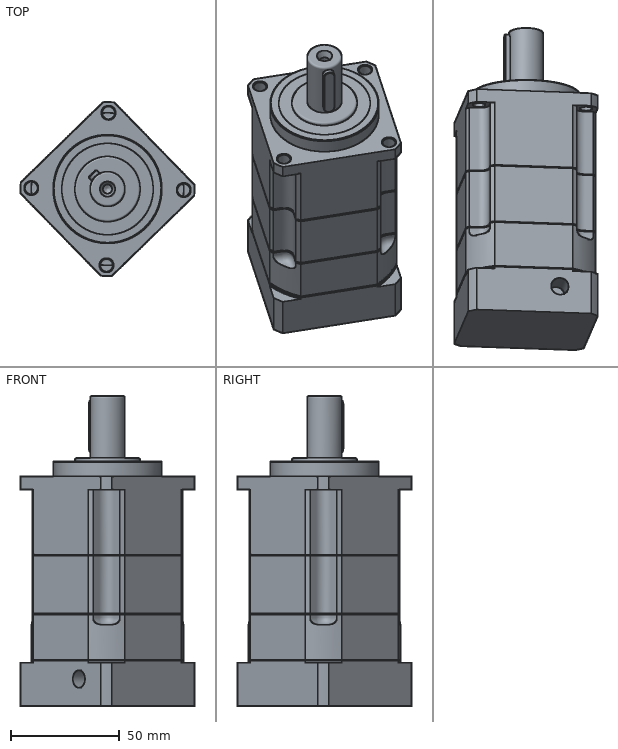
import cadquery as cq
import math

turn_angle = 44.25

square_side = 60.0
corner_count = 4
flange_corner_diameter = 80.0
body_corner_diameter = 70.0

adapter_top = 20.0
joint_heights = [21.3, 42.6, 69.6]
flange_bottom = 99.5
flange_top = flange_bottom + 6.0
pilot_top = flange_top + 7.0
shoulder_top = pilot_top + 1.5
shaft_top = shoulder_top + 28.5
joint_chamfer = 0.5

notch_wall_offset = 20.0
notch_corner_radius = 4.5
notch_floor = 37.5
notch_floor_radius = 3.0

bolt_circle_diameter = 70.0
bolt_start_angle = 45.0
bolt_hole_diameter = 5.8
bolt_hole_chamfer = 0.4
bolt_hole_chamfer_angle = 45.0

access_hole_diameter = 8.0
access_hole_offset = -12.0
access_hole_height = 12.5
access_hole_depth = 15.0

pilot_diameter = 50.0
pilot_chamfer = 0.4
seal_diameter = 42.0
seal_depth = 7.0
seal_seat = pilot_top - seal_depth
shoulder_diameter = 30.0
shaft_diameter = 16.0
shaft_fillet = 1.0

centre_hole_diameter = 4.2
countersink_diameter = 7.0
countersink_angle = 50.0
centre_hole_depth = 12.5
drill_tip_angle = 118.0

key_width = 5.0
key_length = 25.0
key_height = 5.0
key_outer_distance = 10.0
key_chamfer = 0.25
key_end_gap = 1.5


def rounded_square(corner_diameter, bottom, top):
    """Square block whose corners are cut by a cylinder about the axis."""
    height = top - bottom
    block = cq.Workplane("XY").workplane(offset=bottom).rect(square_side, square_side).extrude(height)
    cylinder = cq.Workplane("XY").workplane(offset=bottom).circle(corner_diameter / 2).extrude(height)
    return block.intersect(cylinder)


def corner_notches():
    """Four square corner pockets with a rounded inner edge and a rounded floor."""
    size = flange_corner_diameter / 2
    block = (
        cq.Workplane("XY")
        .box(size, size, flange_bottom - notch_floor, centered=False)
        .translate((notch_wall_offset, notch_wall_offset, notch_floor))
    )
    inner_edge = cq.selectors.NearestToPointSelector(
        (notch_wall_offset, notch_wall_offset, (notch_floor + flange_bottom) / 2)
    )
    notch = block.edges(inner_edge).fillet(notch_corner_radius)
    notch = notch.faces("<Z").edges("<X or <Y").fillet(notch_floor_radius)
    notches = notch
    for quarter in range(1, corner_count):
        notches = notches.union(notch.rotate((0, 0, 0), (0, 0, 1), quarter * 360 / corner_count))
    return notches


def make_housing():
    """Adapter, stacked body sections, flange and pilot as one solid."""
    housing = rounded_square(flange_corner_diameter, 0, adapter_top)
    notches = corner_notches()
    section_bottom = adapter_top
    for joint_height in joint_heights:
        section = rounded_square(body_corner_diameter, section_bottom, joint_height).cut(notches)
        housing = housing.union(section.faces(">Z").chamfer(joint_chamfer))
        section_bottom = joint_height
    output_section = rounded_square(body_corner_diameter, section_bottom, flange_bottom).cut(notches)
    flange = rounded_square(flange_corner_diameter, flange_bottom, flange_top)
    pilot = (
        cq.Workplane("XY")
        .workplane(offset=flange_top)
        .circle(pilot_diameter / 2)
        .extrude(pilot_top - flange_top)
        .faces(">Z")
        .chamfer(pilot_chamfer)
    )
    housing = housing.union(output_section).union(flange).union(pilot)

    bolt_hole_mouths = (
        cq.Workplane("XY")
        .workplane(offset=flange_top - bolt_hole_chamfer)
        .polarArray(bolt_circle_diameter / 2, bolt_start_angle, 360, corner_count)
        .circle(bolt_hole_diameter / 2)
        .extrude(bolt_hole_chamfer, taper=-bolt_hole_chamfer_angle)
    )
    bolt_holes = (
        cq.Workplane("XY")
        .workplane(offset=flange_bottom)
        .polarArray(bolt_circle_diameter / 2, bolt_start_angle, 360, corner_count)
        .circle(bolt_hole_diameter / 2)
        .extrude(flange_top - flange_bottom)
        .union(bolt_hole_mouths)
    )
    access_hole = (
        cq.Workplane("YZ")
        .workplane(offset=-square_side / 2)
        .center(access_hole_offset, access_hole_height)
        .circle(access_hole_diameter / 2)
        .extrude(access_hole_depth)
    )
    seal_pocket = (
        cq.Workplane("XY").workplane(offset=seal_seat).circle(seal_diameter / 2).extrude(seal_depth)
    )
    return housing.cut(bolt_holes).cut(access_hole).cut(seal_pocket)


def make_seal():
    """Flat shaft seal ring, flush with the pilot."""
    return (
        cq.Workplane("XY")
        .workplane(offset=seal_seat)
        .circle(seal_diameter / 2)
        .circle(shoulder_diameter / 2)
        .extrude(seal_depth)
    )


def make_key():
    """Parallel key with round ends, lying along the +Y side of the shaft."""
    key_middle = shaft_top - key_end_gap - key_length / 2
    return (
        cq.Workplane("XZ")
        .workplane(offset=-key_outer_distance)
        .center(0, key_middle)
        .slot2D(key_length, key_width, 90)
        .extrude(key_height)
        .faces(">Y")
        .chamfer(key_chamfer)
    )


def centre_hole():
    """Countersunk blind hole with a conical drill tip, revolved about the axis."""
    hole_radius = centre_hole_diameter / 2
    sink_radius = countersink_diameter / 2
    sink_depth = (sink_radius - hole_radius) / math.tan(math.radians(countersink_angle / 2))
    tip_depth = hole_radius / math.tan(math.radians(drill_tip_angle / 2))
    hole_bottom = shaft_top - centre_hole_depth
    return (
        cq.Workplane("XZ")
        .moveTo(0, shaft_top)
        .lineTo(sink_radius, shaft_top)
        .lineTo(hole_radius, shaft_top - sink_depth)
        .lineTo(hole_radius, hole_bottom)
        .lineTo(0, hole_bottom - tip_depth)
        .close()
        .revolve(360, (0, 0, 0), (0, 1, 0))
    )


def make_shaft(key):
    """Shaft with its shoulder, centre hole and a keyway cut to the shape of the key."""
    shoulder = (
        cq.Workplane("XY")
        .workplane(offset=seal_seat)
        .circle(shoulder_diameter / 2)
        .extrude(shoulder_top - seal_seat)
        .faces(">Z")
        .edges()
        .fillet(shaft_fillet)
    )
    journal = (
        cq.Workplane("XY")
        .workplane(offset=shoulder_top)
        .circle(shaft_diameter / 2)
        .extrude(shaft_top - shoulder_top)
        .faces(">Z")
        .edges()
        .fillet(shaft_fillet)
    )
    return shoulder.union(journal).cut(centre_hole()).cut(key)


housing = make_housing()
seal = make_seal()
key = make_key()
shaft = make_shaft(key)

bodies = []
for body in (housing, seal, shaft, key):
    turned = body.rotate((0, 0, 0), (0, 0, 1), turn_angle)
    bodies.append(turned.solids().val())
result = cq.Compound.makeCompound(bodies)